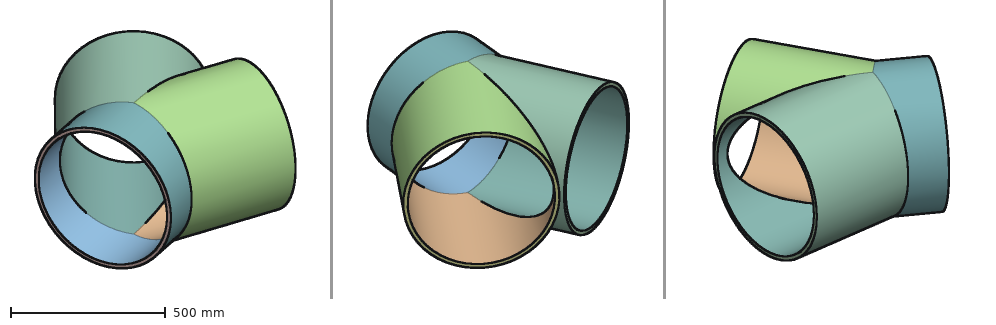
import cadquery as cq
import math

OUTER_DIAMETER = 508.0
BORE_DIAMETER = 478.0
INLET_LENGTH = 203.0
BRANCH_LENGTH = 457.5
BRANCH_ANGLE = 30.0
MITRE_ANGLE = BRANCH_ANGLE / 2
TRIM_REACH = 2 * (INLET_LENGTH + BRANCH_LENGTH)


def mitre_drop(x):
    """Y position of the inlet mitre at a distance x from the centre plane."""
    return -x * math.tan(math.radians(MITRE_ANGLE))


def trimming_block(points):
    """Prism through the full height, used to cut a pipe at its mitres."""
    return cq.Workplane("XY").polyline(points).close().extrude(TRIM_REACH, both=True)


def inlet(diameter):
    """Pipe along Y, ending at the two sloped mitres below the branches."""
    side_y = mitre_drop(TRIM_REACH)
    block = trimming_block([
        (0, 0),
        (TRIM_REACH, side_y),
        (TRIM_REACH, -TRIM_REACH),
        (-TRIM_REACH, -TRIM_REACH),
        (-TRIM_REACH, side_y),
    ])
    pipe = cq.Workplane("XZ").circle(diameter / 2).extrude(INLET_LENGTH, both=True)
    return pipe.intersect(block)


def right_branch(diameter):
    """Sloping pipe kept between the centre plane and the inlet mitre."""
    block = trimming_block([
        (0, 0),
        (TRIM_REACH, mitre_drop(TRIM_REACH)),
        (TRIM_REACH, TRIM_REACH),
        (0, TRIM_REACH),
    ])
    pipe = (
        cq.Workplane("XZ")
        .workplane(offset=-BRANCH_LENGTH)
        .circle(diameter / 2)
        .extrude(2 * BRANCH_LENGTH)
        .rotate((0, 0, 0), (0, 0, 1), -BRANCH_ANGLE)
    )
    return pipe.intersect(block)


def junction(diameter):
    """Solid Y shape made of the inlet and two mirrored branches."""
    branch = right_branch(diameter)
    return inlet(diameter).union(branch).union(branch.mirror("YZ"))


result = junction(OUTER_DIAMETER).cut(junction(BORE_DIAMETER))